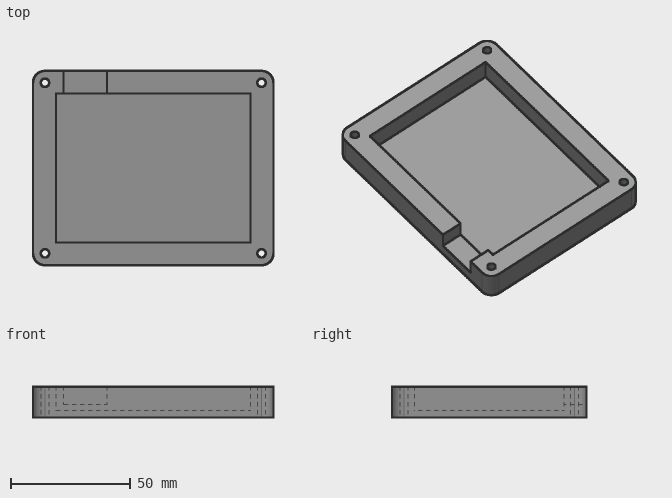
import cadquery as cq

length = 101.0
width = 81.7
height = 13.0
corner_radius = 5.0

pocket_length = 81.8
pocket_width = 62.6
floor_thickness = 3.0

gap_width = 18.4
gap_left_offset = 12.7
gap_depth = 7.5

hole_diameter = 3.4


def tray_body():
    """Plain block with rounded vertical corners, standing on Z = 0."""
    block = cq.Workplane("XY").box(length, width, height, centered=(True, True, False))
    return block.edges("|Z").fillet(corner_radius)


def pocket():
    """Rectangular recess that leaves the floor in place."""
    return (
        cq.Workplane("XY")
        .workplane(offset=floor_thickness)
        .rect(pocket_length, pocket_width)
        .extrude(height - floor_thickness)
    )


def wall_gap():
    """Notch cut down from the top of the back (+Y) wall."""
    gap_centre_x = -length / 2 + gap_left_offset + gap_width / 2
    wall_thickness = (width - pocket_width) / 2
    gap_centre_y = width / 2 - wall_thickness / 2
    return (
        cq.Workplane("XY")
        .workplane(offset=height - gap_depth)
        .center(gap_centre_x, gap_centre_y)
        .rect(gap_width, wall_thickness)
        .extrude(gap_depth)
    )


def screw_holes():
    """Four through holes, one at each corner."""
    spacing_x = length - 2 * corner_radius
    spacing_y = width - 2 * corner_radius
    return (
        cq.Workplane("XY")
        .rect(spacing_x, spacing_y, forConstruction=True)
        .vertices()
        .circle(hole_diameter / 2)
        .extrude(height)
    )


result = tray_body().cut(pocket()).cut(wall_gap()).cut(screw_holes())